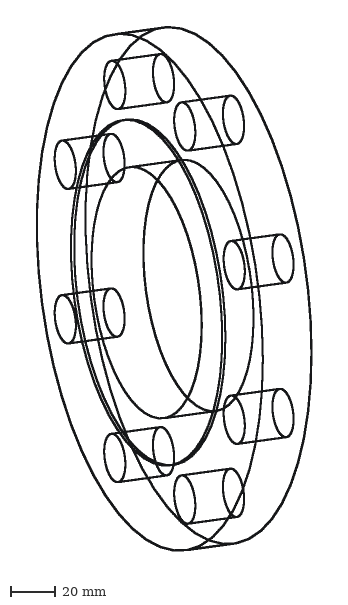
import cadquery as cq

outer_diameter = 235.0
bore_diameter = 114.3
raised_face_diameter = 157.2
total_thickness = 26.0
raised_face_height = 1.6
body_thickness = total_thickness - raised_face_height

bolt_count = 8
bolt_hole_diameter = 22.0
bolt_circle_diameter = 190.0
bolt_spacing_angle = 360.0 / bolt_count
first_bolt_angle = bolt_spacing_angle / 2


def flange_body():
    """Plain disc from the back face at Y = 0 towards -Y, with its raised face."""
    disc = cq.Workplane("XZ").circle(outer_diameter / 2).extrude(body_thickness)
    raised_face = cq.Workplane("XZ").circle(raised_face_diameter / 2).extrude(total_thickness)
    return disc.union(raised_face)


def bore():
    """Through bore on the flange axis."""
    return cq.Workplane("XZ").circle(bore_diameter / 2).extrude(total_thickness)


def bolt_holes():
    """Through holes evenly spaced on the bolt circle."""
    return (
        cq.Workplane("XZ")
        .polarArray(bolt_circle_diameter / 2, first_bolt_angle, 360, bolt_count)
        .circle(bolt_hole_diameter / 2)
        .extrude(total_thickness)
    )


result = flange_body().cut(bore()).cut(bolt_holes())